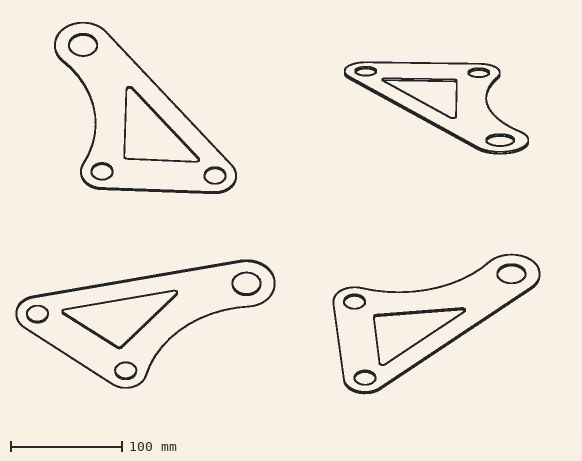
import cadquery as cq
import math

LENGTH = 235.0
WIDTH = 116.8
THICKNESS = 2.02

LARGE_EYE_RADIUS = 25.4
SMALL_EYE_RADIUS = 19.0
LARGE_HOLE_DIAMETER = 25.4
SMALL_HOLE_DIAMETER = 19.0

LOWER_EYE_X = 126.5
CONCAVE_RADIUS = 102.2
LARGE_EYE_EXIT = -85.0
LOWER_EYE_EXIT = 207.0

WINDOW_LEFT_X = 57.3
WINDOW_RIGHT_X = 171.5
WINDOW_TIP = (126.6, -47.7)
WINDOW_FILLET = 2.8

large_eye = (0.0, 0.0)
right_eye = (
    LENGTH - LARGE_EYE_RADIUS - SMALL_EYE_RADIUS,
    LARGE_EYE_RADIUS - SMALL_EYE_RADIUS,
)
lower_eye = (LOWER_EYE_X, LARGE_EYE_RADIUS + SMALL_EYE_RADIUS - WIDTH)


def rim_point(center, radius, degrees):
    """Point on a circle in the given direction from its centre."""
    angle = math.radians(degrees)
    return (center[0] + radius * math.cos(angle), center[1] + radius * math.sin(angle))


def arc_midpoint(start, end, radius):
    """Middle of the arc from start to end that bulges to the left of the chord."""
    dx = end[0] - start[0]
    dy = end[1] - start[1]
    chord = math.hypot(dx, dy)
    rise = radius - math.sqrt(radius**2 - (chord / 2) ** 2)
    return (
        (start[0] + end[0]) / 2 - dy / chord * rise,
        (start[1] + end[1]) / 2 + dx / chord * rise,
    )


def make_plate():
    slope = math.degrees(math.atan2(right_eye[1] - lower_eye[1], right_eye[0] - lower_eye[0]))
    edge_normal = slope - 90

    hollow_start = rim_point(large_eye, LARGE_EYE_RADIUS, LARGE_EYE_EXIT)
    hollow_end = rim_point(lower_eye, SMALL_EYE_RADIUS, LOWER_EYE_EXIT)
    return (
        cq.Workplane("XY")
        .moveTo(*rim_point(large_eye, LARGE_EYE_RADIUS, 90))
        .lineTo(*rim_point(right_eye, SMALL_EYE_RADIUS, 90))
        .threePointArc(
            rim_point(right_eye, SMALL_EYE_RADIUS, 0),
            rim_point(right_eye, SMALL_EYE_RADIUS, edge_normal),
        )
        .lineTo(*rim_point(lower_eye, SMALL_EYE_RADIUS, edge_normal))
        .threePointArc(rim_point(lower_eye, SMALL_EYE_RADIUS, -90), hollow_end)
        .threePointArc(arc_midpoint(hollow_start, hollow_end, CONCAVE_RADIUS), hollow_start)
        .threePointArc(
            rim_point(large_eye, LARGE_EYE_RADIUS, 180),
            rim_point(large_eye, LARGE_EYE_RADIUS, 90),
        )
        .close()
        .extrude(THICKNESS)
    )


def make_window():
    top_y = right_eye[1]
    return (
        cq.Workplane("XY")
        .polyline([(WINDOW_LEFT_X, top_y), (WINDOW_RIGHT_X, top_y), WINDOW_TIP])
        .close()
        .extrude(THICKNESS)
        .edges("|Z")
        .fillet(WINDOW_FILLET)
    )


def make_hole(center, diameter):
    return cq.Workplane("XY").center(*center).circle(diameter / 2).extrude(THICKNESS)


result = make_plate().cut(make_window())
result = result.cut(make_hole(large_eye, LARGE_HOLE_DIAMETER))
for small_eye in (right_eye, lower_eye):
    result = result.cut(make_hole(small_eye, SMALL_HOLE_DIAMETER))